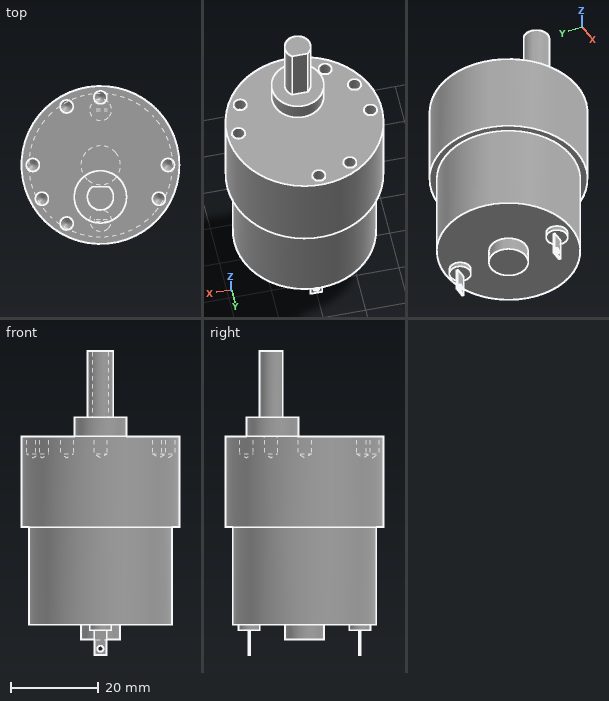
import cadquery as cq
import math

gearbox_diameter = 36.35
gearbox_length = 20.8
motor_diameter = 33.0
motor_length = 22.5

shaft_offset_y = -7.35
collar_diameter = 12.0
collar_length = 4.4
shaft_diameter = 6.0
shaft_length = 15.25
shaft_flat_distance = 2.4

hole_diameter = 3.0
hole_depth = 4.0
hole_circle_radius = 15.5
hole_angles = (0, 90, 120, 180, 210, 240, 330)
drill_tip_angle = 118

stub_diameter = 9.0
stub_length = 3.35
terminal_offset_y = 12.7
terminal_base_diameter = 4.95
terminal_base_length = 1.25
blade_width = 2.8
blade_thickness = 0.4
terminal_length = 6.9
eyelet_diameter = 1.3
eyelet_to_tip = 1.5

motor_bottom = terminal_length
gearbox_bottom = motor_bottom + motor_length
gearbox_top = gearbox_bottom + gearbox_length
collar_top = gearbox_top + collar_length


def cylinder(diameter, length, bottom, y=0):
    return cq.Workplane("XY", origin=(0, y, bottom)).circle(diameter / 2).extrude(length)


def output_shaft():
    """Round shaft with a flat along its full exposed length."""
    shaft = cylinder(shaft_diameter, shaft_length, collar_top, shaft_offset_y)
    flat_cutter = (
        cq.Workplane("XY", origin=(0, shaft_offset_y + shaft_flat_distance, collar_top))
        .rect(shaft_diameter, shaft_diameter)
        .extrude(shaft_length)
        .translate((0, shaft_diameter / 2, 0))
    )
    return shaft.cut(flat_cutter)


def mounting_hole(angle):
    """Blind drilled hole with a conical bottom."""
    radius = hole_diameter / 2
    tip_depth = radius / math.tan(math.radians(drill_tip_angle / 2))
    drill = (
        cq.Workplane("XZ")
        .polyline([(0, 0), (radius, 0), (radius, -hole_depth), (0, -hole_depth - tip_depth)])
        .close()
        .revolve(360, (0, 0), (0, 1))
    )
    placed = drill.translate((hole_circle_radius, 0, gearbox_top))
    return placed.rotate((0, 0, 0), (0, 0, 1), angle)


def terminal(y):
    """Round base carrying a thin blade with an eyelet near its tip."""
    base_bottom = motor_bottom - terminal_base_length
    base = cylinder(terminal_base_diameter, terminal_base_length, base_bottom, y)
    blade = (
        cq.Workplane("XY", origin=(0, y, 0))
        .rect(blade_width, blade_thickness)
        .extrude(base_bottom)
    )
    eyelet = (
        cq.Workplane("XZ", origin=(0, y, eyelet_to_tip))
        .circle(eyelet_diameter / 2)
        .extrude(blade_thickness, both=True)
    )
    return base.union(blade.cut(eyelet))


result = cylinder(motor_diameter, motor_length, motor_bottom)
result = result.union(cylinder(gearbox_diameter, gearbox_length, gearbox_bottom))
result = result.union(cylinder(collar_diameter, collar_length, gearbox_top, shaft_offset_y))
result = result.union(output_shaft())
result = result.union(cylinder(stub_diameter, stub_length, motor_bottom - stub_length))

for terminal_y in (-terminal_offset_y, terminal_offset_y):
    result = result.union(terminal(terminal_y))

for hole_angle in hole_angles:
    result = result.cut(mounting_hole(hole_angle))